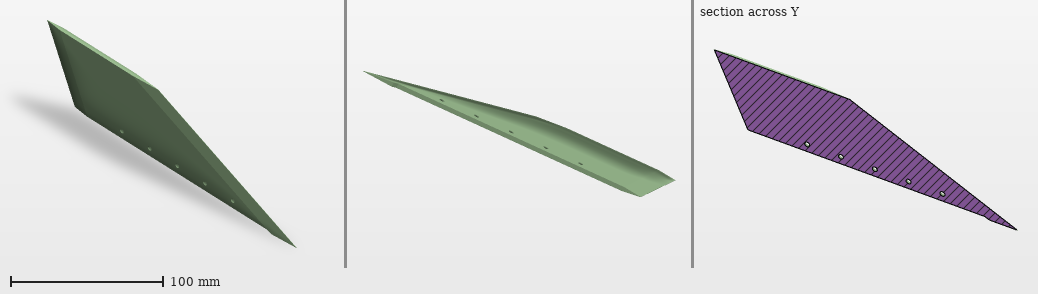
import cadquery as cq

length = 228.5
thickness = 3.2
height = 61.3
edge_thickness = 0.2

plate_bottom = 1.5
front_edge_run = 25.4
front_bevel_width = 12.8
rear_edge_top = 101.7
rear_bevel_width = 22.0

hole_count = 5
hole_diameter = 3.5
hole_pitch = 25.4
first_hole_x = 70.0
hole_z = 8.0

rear_edge_run = length - rear_edge_top
rear_crease_bottom = length - rear_bevel_width
plate_corner_x = rear_crease_bottom - rear_edge_run * plate_bottom / height


def plate():
    """Full-thickness plate out to both slanted edges."""
    outline = [
        (0, height),
        (front_edge_run, plate_bottom),
        (plate_corner_x, plate_bottom),
        (rear_crease_bottom, 0),
        (length, 0),
        (rear_edge_top, height),
    ]
    return cq.Workplane("XZ").polyline(outline).close().extrude(thickness / 2, both=True)


def bevel_cutter(edge_top, edge_bottom, bevel_width, z_bottom, side):
    """Wedge that thins one face (side = +1 or -1) from the crease to the edge.

    A negative bevel width places the crease toward -X of the edge.
    """

    def section(edge_x):
        face_y = side * thickness / 2
        edge_y = side * edge_thickness / 2
        return [
            (edge_x + bevel_width, face_y),
            (edge_x, face_y),
            (edge_x, edge_y),
        ]

    def wire(edge_x, z):
        points = [cq.Vector(x, y, z) for x, y in section(edge_x)]
        return cq.Wire.makePolygon(points, close=True)

    lower = wire(edge_bottom, z_bottom)
    upper = wire(edge_top, height)
    return cq.Workplane(obj=cq.Solid.makeLoft([lower, upper], True))


def holes():
    """Evenly spaced drills through the full thickness."""
    centers = [(first_hole_x + i * hole_pitch, hole_z) for i in range(hole_count)]
    return cq.Workplane("XZ").pushPoints(centers).circle(hole_diameter / 2).extrude(thickness, both=True)


result = plate()
for face_side in (1, -1):
    result = result.cut(bevel_cutter(0, front_edge_run, front_bevel_width, plate_bottom, face_side))
    result = result.cut(bevel_cutter(rear_edge_top, length, -rear_bevel_width, 0, face_side))
result = result.cut(holes())